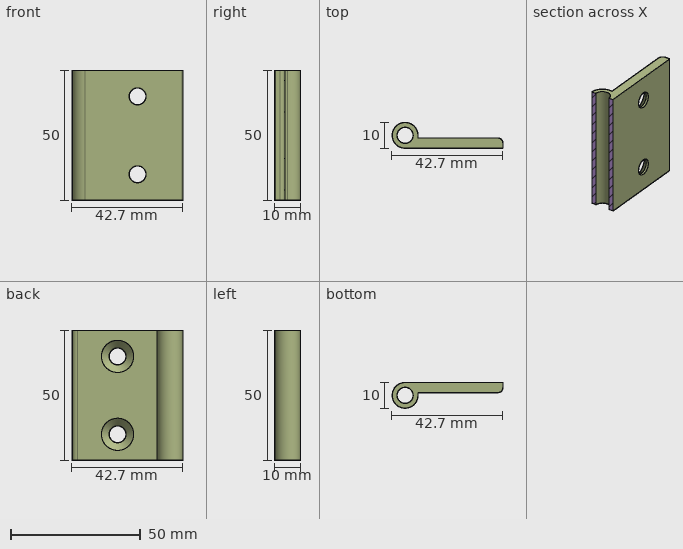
import cadquery as cq
import math

leaf_height = 50.0
barrel_diameter = 10.0
bore_diameter = 6.1
leaf_thickness = 4.0
overall_width = 42.7
back_tip_radius = 2.0
front_tip_radius = 0.3
hole_diameter = 6.4
hole_offset = 20.2
hole_spacing = 30.0
sink_depth = 3.0
sink_angle = 90.0

barrel_radius = barrel_diameter / 2
leaf_front = -barrel_radius
leaf_back = leaf_front + leaf_thickness
leaf_tip = overall_width - barrel_radius
hole_heights = [(leaf_height - hole_spacing) / 2, (leaf_height + hole_spacing) / 2]


def hinge_body():
    """Barrel running tangentially into the front of a flat leaf with rounded tip edges."""
    body = (
        cq.Workplane("XY")
        .moveTo(0, leaf_front)
        .threePointArc((-barrel_radius, 0), (0, barrel_radius))
        .threePointArc(
            (barrel_radius * math.sqrt(0.5), barrel_radius * math.sqrt(0.5)),
            (barrel_radius, 0),
        )
        .lineTo(barrel_radius, leaf_back)
        .lineTo(leaf_tip, leaf_back)
        .lineTo(leaf_tip, leaf_front)
        .close()
        .extrude(leaf_height)
    )
    body = body.faces(">X").edges("|Z and >Y").fillet(back_tip_radius)
    return body.faces(">X").edges("|Z and <Y").fillet(front_tip_radius)


def pin_bore():
    """Pin hole along the full barrel."""
    return cq.Workplane("XY").circle(bore_diameter / 2).extrude(leaf_height)


def screw_hole(height):
    """Screw hole through the leaf, countersunk from the back."""
    hole_radius = hole_diameter / 2
    sink_radius = hole_radius + sink_depth * math.tan(math.radians(sink_angle / 2))
    return (
        cq.Workplane("XY", origin=(hole_offset, 0, height))
        .moveTo(0, leaf_front)
        .lineTo(hole_radius, leaf_front)
        .lineTo(hole_radius, leaf_back - sink_depth)
        .lineTo(sink_radius, leaf_back)
        .lineTo(0, leaf_back)
        .close()
        .revolve(360, (0, 0, 0), (0, 1, 0))
    )


result = hinge_body().cut(pin_bore())
for hole_height in hole_heights:
    result = result.cut(screw_hole(hole_height))